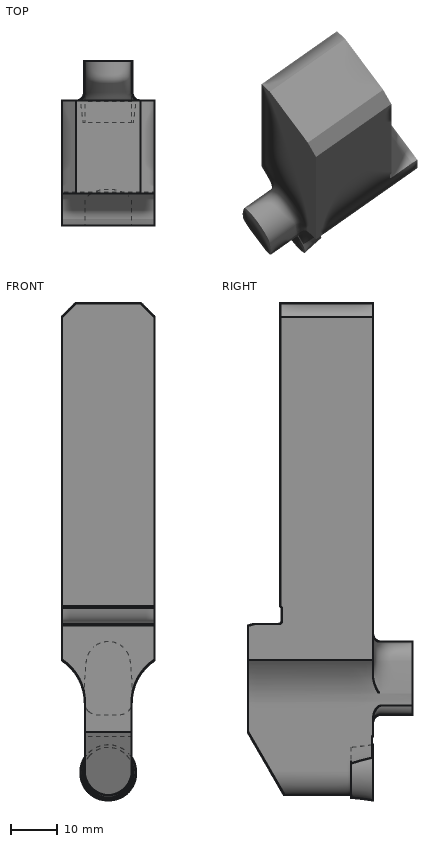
import cadquery as cq
import math


insert_radius = 6.0
insert_thickness = 4.7
insert_relief_angle = 7.0

shank_width = 19.93
shank_depth = 20.0
shank_top_z = 100.98
top_chamfer = 3.0

front_depth = 26.93
shoulder_z = 32.0
shoulder_bevel_depth = 1.4
shoulder_bevel_height = 0.4
undercut_depth = 0.35
undercut_height = 3.8
undercut_corner_radius = 0.6

neck_half_width = 5.05
nose_centre_z = 0.2
neck_top_z = 15.1
flank_corner_z = 24.2
bevel_start_z = 8.7
bevel_angle = 30.0

relief_depth = 0.2
relief_top_z = 7.8

boss_length = 8.5
boss_top_z = 28.2
boss_bottom_z = 12.4
boss_top_radius = 4.75
boss_half_width = 5.23
boss_corner_radius = 3.0
boss_root_fillet = 1.6


def make_insert():
    """Round insert whose flank tapers towards the seat in front of it."""
    taper = insert_thickness * math.tan(math.radians(insert_relief_angle))
    half_section = [
        (0, 0),
        (insert_radius, 0),
        (insert_radius - taper, -insert_thickness),
        (0, -insert_thickness),
    ]
    return cq.Workplane("XY").polyline(half_section).close().revolve(360, (0, 0, 0), (0, 1, 0))


def make_side_block():
    """Side outline of the holder in Y and Z, extruded over the full width."""
    nose_z = nose_centre_z - neck_half_width
    nose_front_y = -front_depth + (bevel_start_z - nose_z) * math.tan(math.radians(bevel_angle))
    undercut_y = -shank_depth + undercut_depth
    undercut_top_z = shoulder_z + undercut_height
    corner = undercut_corner_radius
    arc_reach = corner * (1 - math.sqrt(0.5))
    return (
        cq.Workplane("YZ")
        .moveTo(0, shank_top_z)
        .lineTo(-shank_depth, shank_top_z)
        .lineTo(-shank_depth, undercut_top_z)
        .lineTo(undercut_y, undercut_top_z - undercut_depth)
        .lineTo(undercut_y, shoulder_z + corner)
        .threePointArc(
            (undercut_y - arc_reach, shoulder_z + arc_reach),
            (undercut_y - corner, shoulder_z),
        )
        .lineTo(-front_depth + shoulder_bevel_depth, shoulder_z)
        .lineTo(-front_depth, shoulder_z - shoulder_bevel_height)
        .lineTo(-front_depth, bevel_start_z)
        .lineTo(nose_front_y, nose_z)
        .lineTo(-relief_depth, nose_z)
        .lineTo(-relief_depth, relief_top_z)
        .lineTo(0, relief_top_z)
        .close()
        .extrude(shank_width / 2, both=True)
    )


def make_boss():
    """Boss with a round top, slightly bulging sides and two rounded lower corners."""
    top_centre_z = boss_top_z - boss_top_radius
    corner_centre_z = boss_bottom_z + boss_corner_radius
    corner_centre_x = boss_half_width - boss_corner_radius

    rise = top_centre_z - corner_centre_z
    side_radius = (boss_half_width**2 + rise**2 - boss_top_radius**2) / (
        2 * (boss_half_width - boss_top_radius)
    )
    side_centre_x = boss_half_width - side_radius
    tangent_angle = math.asin(rise / (side_radius - boss_top_radius))

    tangent_x = boss_top_radius * math.cos(tangent_angle)
    tangent_z = top_centre_z + boss_top_radius * math.sin(tangent_angle)
    side_mid_x = side_centre_x + side_radius * math.cos(tangent_angle / 2)
    side_mid_z = corner_centre_z + side_radius * math.sin(tangent_angle / 2)
    corner_mid_x = corner_centre_x + boss_corner_radius * math.sqrt(0.5)
    corner_mid_z = corner_centre_z - boss_corner_radius * math.sqrt(0.5)

    return (
        cq.Workplane("XZ")
        .moveTo(-tangent_x, tangent_z)
        .threePointArc((0, boss_top_z), (tangent_x, tangent_z))
        .threePointArc((side_mid_x, side_mid_z), (boss_half_width, corner_centre_z))
        .threePointArc((corner_mid_x, corner_mid_z), (corner_centre_x, boss_bottom_z))
        .lineTo(-corner_centre_x, boss_bottom_z)
        .threePointArc((-corner_mid_x, corner_mid_z), (-boss_half_width, corner_centre_z))
        .threePointArc((-side_mid_x, side_mid_z), (-tangent_x, tangent_z))
        .close()
        .extrude(-boss_length)
    )


def make_front_envelope():
    """Front outline of the holder in X and Z, long enough to trim the boss as well."""
    half_width = shank_width / 2
    flank_step = half_width - neck_half_width
    flank_drop = flank_corner_z - neck_top_z
    flank_radius = (flank_step**2 + flank_drop**2) / (2 * flank_step)
    mid_angle = math.asin(flank_drop / flank_radius) / 2
    flank_mid_x = neck_half_width + flank_radius * (1 - math.cos(mid_angle))
    flank_mid_z = neck_top_z + flank_radius * math.sin(mid_angle)
    return (
        cq.Workplane("XZ", origin=(0, boss_length, 0))
        .moveTo(-half_width + top_chamfer, shank_top_z)
        .lineTo(half_width - top_chamfer, shank_top_z)
        .lineTo(half_width, shank_top_z - top_chamfer)
        .lineTo(half_width, flank_corner_z)
        .threePointArc((flank_mid_x, flank_mid_z), (neck_half_width, neck_top_z))
        .lineTo(neck_half_width, nose_centre_z)
        .threePointArc((0, nose_centre_z - neck_half_width), (-neck_half_width, nose_centre_z))
        .lineTo(-neck_half_width, neck_top_z)
        .threePointArc((-flank_mid_x, flank_mid_z), (-half_width, flank_corner_z))
        .lineTo(-half_width, shank_top_z - top_chamfer)
        .close()
        .extrude(boss_length + front_depth)
    )


def make_holder(seated_insert):
    """Shank, shoulder, neck and boss in one piece, with a seat for the insert."""
    root_margin = 0.5
    boss_root = cq.selectors.BoxSelector(
        (-boss_half_width - root_margin, -root_margin, boss_bottom_z - root_margin),
        (boss_half_width + root_margin, root_margin, boss_top_z + root_margin),
    )
    body = make_side_block().union(make_boss())
    body = body.edges(boss_root).fillet(boss_root_fillet)
    return body.intersect(make_front_envelope()).cut(seated_insert)


insert = make_insert()
holder = make_holder(insert)

result = cq.Compound.makeCompound([holder.val(), insert.val()])